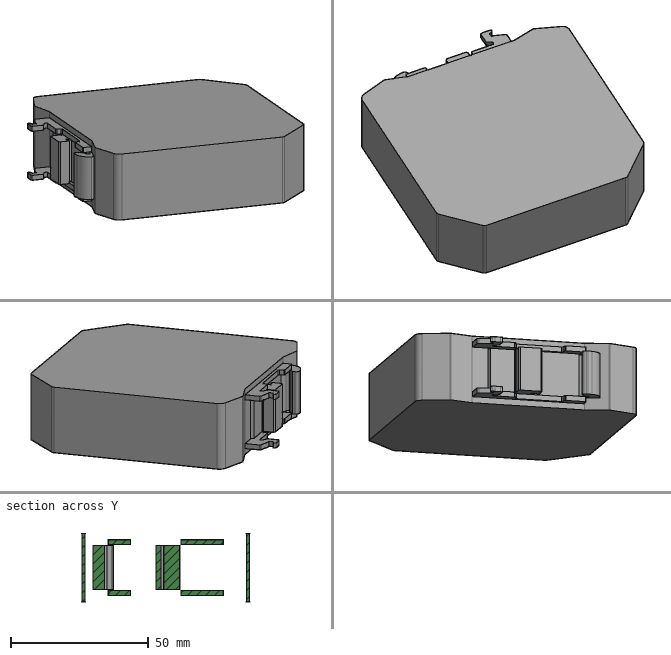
import cadquery as cq


width = 83.5
height = 25.0
mount_to_top = 80.1
corner_cut = 13.0
corner_cut_radius = 1.5
shoulder_y = 1.7
shoulder_radius = 2.8
ridge_x = 30.05
ridge_depth = 2.3
ridge_radius = 0.7
recess_half_width = 21.3

cheek_inner_z = 8.3
cheek_outer_z = 10.2
cheek_half_length = 21.0
web_depth = 1.3
pad_depth = 3.4
pad_chamfer = 0.3
web_left_x = -5.5
web_right_x = 12.8
web_corner = 0.6
pad_flank_draft = 0.2

overall_length = 90.5
foot_depth = overall_length - mount_to_top
foot_right_x = -12.5
heel_depth = 5.7
heel_bevel_width = 0.6
heel_bevel_depth = 0.4
neck_x = -15.5
neck_depth = 7.3
neck_height = 1.45
toe_tip_x = -16.9
toe_tip_depth = 9.8
toe_rounding = 0.5
toe_flat_left_x = -15.4
toe_bevel_width = 0.9
toe_bevel_depth = 0.3
slot_left_x = -14.7
slot_middle_depth = 4.1
slot_rounding = 0.6
slot_inset = 0.4

slide_half_z = 8.1
plate_left_x = -15.3
plate_draft = 0.6
plate_depth = 1.2
plate_step_x = web_left_x
plate_step_depth = 1.5

block_left_x = -5.2
block_right_x = 3.6
block_depth = 6.0
block_chamfer = 0.5
block_root_x = 0.8
notch_right_x = 1.7
notch_depth = 2.2
overhang_depth = 1.9

latch_left_x = 19.1
latch_right_x = 26.5
latch_depth = 6.6
nose_flat_left_x = 20.1
nose_flat_right_x = 20.7
nose_side_upper_depth = 4.4
nose_side_lower_depth = 5.3
nose_arc_middle = (19.4, -6.15)
ramp_end = (21.8, -1.0)
relief_middle = (22.4, -1.7)
relief_end = (21.45, -2.4)
nose_upper_corner = (19.7, -3.8)
back_arc_start = (22.3, -6.3)
back_arc_middle = (25.1, -5.0)
back_arc_end_depth = 2.2

overlap = 0.9


def prism(profile, z_low, z_high):
    """Extrude a closed XY profile between two Z levels."""
    return profile.extrude(z_high - z_low).translate((0, 0, z_low))


def round_upright_edges(solid, corners, radius):
    """Fillet the Z edges standing at the given XY corners."""
    reach = 0.1
    for x, y in corners:
        box = cq.selectors.BoxSelector(
            (x - reach, y - reach, -height), (x + reach, y + reach, height)
        )
        solid = solid.edges(box).fillet(radius)
    return solid


def make_housing():
    half = width / 2
    cut_corners = [(half, mount_to_top - corner_cut), (half - corner_cut, mount_to_top)]
    shoulder = (half, shoulder_y)
    ridge = (ridge_x, -ridge_depth)
    right_side = [(recess_half_width, 0), ridge, shoulder] + cut_corners
    left_side = [(-x, y) for x, y in reversed(right_side)]
    outline = cq.Workplane("XY").polyline(right_side + left_side).close()
    body = prism(outline, -height / 2, height / 2)

    for corners, radius in (
        (cut_corners, corner_cut_radius),
        ([shoulder], shoulder_radius),
        ([ridge], ridge_radius),
    ):
        both_sides = corners + [(-x, y) for x, y in corners]
        body = round_upright_edges(body, both_sides, radius)
    return body


def make_cheek(z_low, z_high):
    pad_edge = pad_depth - pad_chamfer
    web_edge = web_depth + pad_chamfer
    toe_root_x = toe_tip_x + toe_rounding
    slot_root_x = slot_left_x + slot_inset
    outline = (
        cq.Workplane("XY")
        .moveTo(-cheek_half_length, overlap)
        .lineTo(-cheek_half_length, -heel_depth)
        .lineTo(-cheek_half_length + heel_bevel_width, -heel_depth - heel_bevel_depth)
        .lineTo(neck_x - toe_bevel_width, -neck_depth)
        .lineTo(neck_x, -neck_depth)
        .lineTo(neck_x, -neck_depth - neck_height)
        .lineTo(toe_root_x, -toe_tip_depth + toe_rounding)
        .threePointArc((toe_tip_x, -toe_tip_depth), (toe_root_x, -toe_tip_depth - toe_rounding))
        .lineTo(toe_flat_left_x, -foot_depth)
        .lineTo(foot_right_x - toe_bevel_width, -foot_depth)
        .lineTo(foot_right_x, -foot_depth + toe_bevel_depth)
        .lineTo(foot_right_x, -heel_depth)
        .lineTo(slot_root_x, -slot_middle_depth - slot_rounding)
        .threePointArc((slot_left_x, -slot_middle_depth), (slot_root_x, -pad_depth))
        .lineTo(web_left_x - web_corner, -pad_depth)
        .lineTo(web_left_x, -pad_edge)
        .lineTo(web_left_x, -web_edge)
        .lineTo(web_left_x + web_corner, -web_depth)
        .lineTo(web_right_x - web_corner, -web_depth)
        .lineTo(web_right_x, -web_edge)
        .lineTo(web_right_x + pad_flank_draft, -pad_edge)
        .lineTo(web_right_x + pad_flank_draft + pad_chamfer, -pad_depth)
        .lineTo(cheek_half_length - pad_chamfer, -pad_depth)
        .lineTo(cheek_half_length, -pad_edge)
        .lineTo(cheek_half_length, overlap)
        .close()
    )
    return prism(outline, z_low, z_high)


def make_plate():
    """Thin base that carries the grip block."""
    outline = cq.Workplane("XY").polyline([
        (plate_left_x, overlap),
        (plate_left_x, 0),
        (plate_left_x + plate_draft, -plate_depth),
        (plate_step_x, -plate_depth),
        (plate_step_x, -plate_step_depth),
        (block_root_x, -plate_step_depth),
        (block_root_x, overlap),
    ]).close()
    return prism(outline, -slide_half_z, slide_half_z)


def make_block():
    chamfer_y = block_chamfer - block_depth
    outline = cq.Workplane("XY").polyline([
        (block_left_x, overlap),
        (block_left_x, chamfer_y),
        (block_left_x + block_chamfer, -block_depth),
        (block_right_x - block_chamfer, -block_depth),
        (block_right_x, chamfer_y),
        (block_right_x, -overhang_depth),
        (notch_right_x, -overhang_depth),
        (notch_right_x, -notch_depth),
        (block_root_x, -notch_depth),
        (block_root_x, overlap),
    ]).close()
    return prism(outline, -slide_half_z, slide_half_z)


def make_latch():
    """Sprung nose at the right end of the slide."""
    outline = (
        cq.Workplane("XY")
        .moveTo(latch_left_x, overlap)
        .lineTo(latch_left_x, 0)
        .lineTo(*ramp_end)
        .threePointArc(relief_middle, relief_end)
        .lineTo(*nose_upper_corner)
        .lineTo(latch_left_x, -nose_side_upper_depth)
        .lineTo(latch_left_x, -nose_side_lower_depth)
        .threePointArc(nose_arc_middle, (nose_flat_left_x, -latch_depth))
        .lineTo(nose_flat_right_x, -latch_depth)
        .lineTo(*back_arc_start)
        .threePointArc(back_arc_middle, (latch_right_x, -back_arc_end_depth))
        .lineTo(latch_right_x, overlap)
        .close()
    )
    return prism(outline, -slide_half_z, slide_half_z)


result = make_housing()
for z_low, z_high in ((cheek_inner_z, cheek_outer_z), (-cheek_outer_z, -cheek_inner_z)):
    result = result.union(make_cheek(z_low, z_high))
for slide_part in (make_plate(), make_block(), make_latch()):
    result = result.union(slide_part)